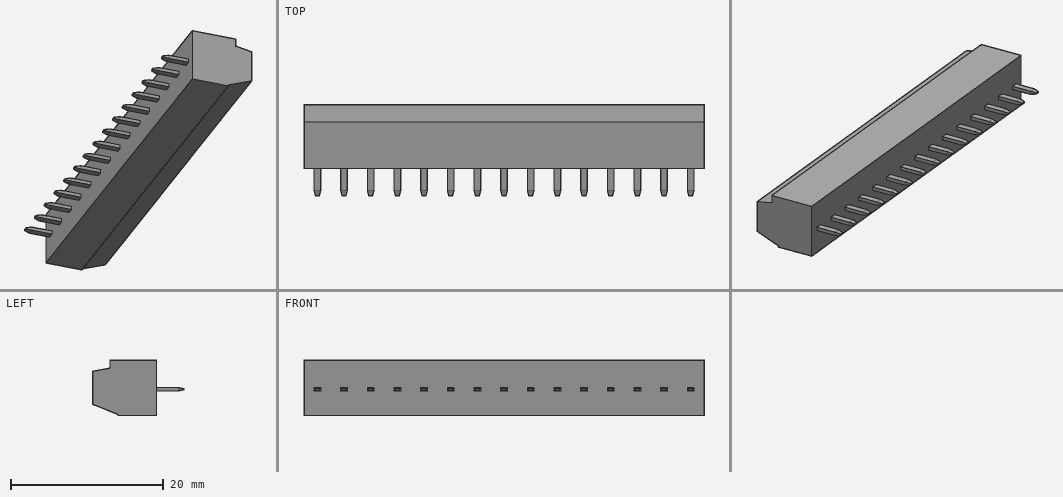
import cadquery as cq

length = 52.6
height = 7.3
depth = 8.4
top_ledge_depth = 2.25
top_ledge_drop = 1.05
back_face_top = 5.85
back_face_bottom = 1.45
bottom_slope_depth = 3.3
bottom_step = 0.15

pin_count = 15
first_pin_x = 1.75
last_pin_margin = 1.8
pin_pitch = (length - first_pin_x - last_pin_margin) / (pin_count - 1)
pin_z = 3.45
pin_width = 0.9
pin_thickness = 0.45
pin_length = 3.6
tip_length = 0.75
tip_width = 0.5
tip_thickness = 0.15


def make_housing():
    """Extrude the YZ outline along X; the front face lies at Y = 0."""
    ledge_y = depth - top_ledge_depth
    slope_y = depth - bottom_slope_depth
    outline = [
        (0, 0),
        (slope_y, 0),
        (slope_y, bottom_step),
        (depth, back_face_bottom),
        (depth, back_face_top),
        (ledge_y, height - top_ledge_drop),
        (ledge_y, height),
        (0, height),
    ]
    return cq.Workplane("YZ").polyline(outline).close().extrude(length)


def make_pin(x):
    """Straight blade pointing to -Y with a tip tapered on all four sides."""
    shank_length = pin_length - tip_length
    shank = (
        cq.Workplane("XZ", origin=(x, 0, pin_z))
        .rect(pin_width, pin_thickness)
        .extrude(shank_length)
    )
    tip = (
        cq.Workplane("XZ", origin=(x, -shank_length, pin_z))
        .rect(pin_width, pin_thickness)
        .workplane(offset=tip_length)
        .rect(tip_width, tip_thickness)
        .loft(ruled=True)
    )
    return shank.union(tip)


result = make_housing()
for i in range(pin_count):
    result = result.union(make_pin(first_pin_x + i * pin_pitch))